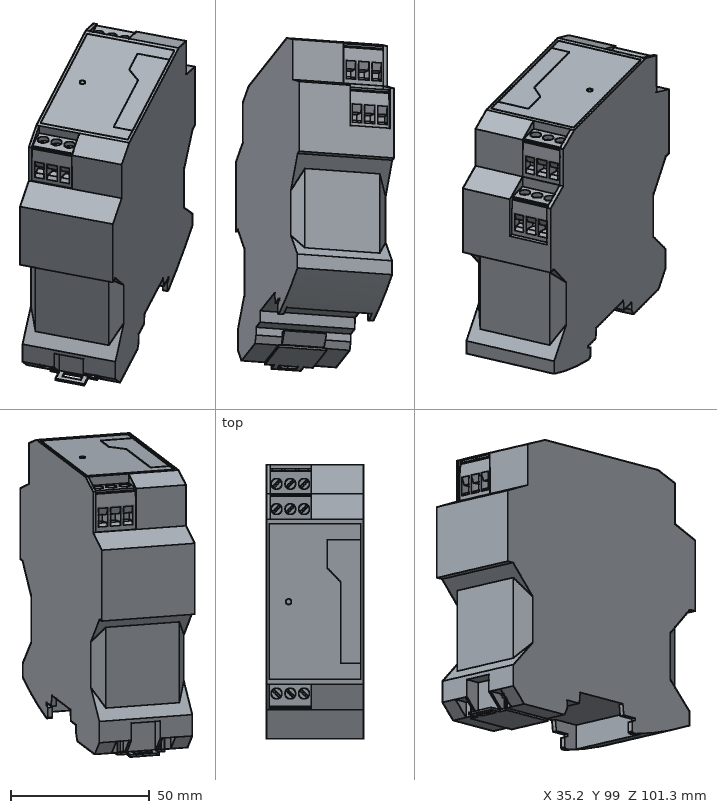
import cadquery as cq


width = 35.2
depth = 99.0
height = 101.3
half_width = width / 2
half_depth = depth / 2

top_half_depth = 29.8
upper_half_depth = 38.9
upper_edge_z = 98.0
shelf_inner_z = 82.8
shelf_outer_z = 78.7
overhang_z = 52.4
overhang_half_depth = 46.7
waist_half_depth = 36.3
waist_top_z = 41.6
waist_bottom_z = 24.5
foot_half_depth = 46.5
foot_top_z = 14.4
foot_bottom_z = 0.8
rail_seat_z = 6.5

rail_gap_z = 10.6
rail_gap_half_depth = 11.2
rail_seat_half_depth = 11.8
hook_foot_edge_z = 9.1
hook_foot_mid = (33.4, 4.6)
hook_foot_toe_y = 18.1
hook_foot_face_y = 16.1
hook_foot_toe_chamfer = 0.5
hook_lip_z = 5.0
hook_groove_y = 17.8
hook_groove_z = 5.7
hook_foot_notch_y = 22.3
hook_foot_notch_half_width = 15.8
latch_foot_face_y = -18.0
latch_foot_bend_z = 3.5
latch_foot_bottom_y = -19.6
latch_foot_chamfer = rail_seat_z - foot_bottom_z

block_half_depth = 42.6
block_half_width = 13.9

terminal_right = -1.3
front_terminal_left = -16.5
back_terminal_left = -16.1
front_terminal_y = 38.5
back_terminal_y = 38.8
lower_terminal_shift = 9.1
terminal_slope_run = 0.7
terminal_slope_height = 5.8
terminal_height = upper_edge_z - shelf_inner_z
groove_drop = 0.8
groove_height = 0.4
groove_depth = 0.2

screw_pitch = 5.0
middle_screw_x = -8.9
screw_radius = 1.9
screw_inset = 5.4
screw_recess = 1.8
screw_slot_width = 0.7
screw_slot_depth = 0.5
screw_slot_angle = 45

funnel_ranges = [
    ((-15.4, -12.0), (-15.4, -12.8)),
    ((-10.8, -7.0), (-10.0, -7.8)),
    ((-5.9, -2.4), (-5.1, -2.4)),
]
funnel_mouth = (6.5, 13.4)
funnel_back = (9.2, 12.3)
funnel_throat_depth = 1.2
funnel_depth = 4.1

label_half_width = 16.5
label_half_depth = 28.1
label_recess = 0.1
window_recess = 0.1
window_left = 4.4
window_neck = 9.3
window_half_depth = 22.3
window_bend_y = 12.3
window_neck_y = 7.1
led_x = -9.5
led_radius = 1.0
led_recess = 0.2

latch_pocket_half_width = 11.1
latch_half_width = 8.9
latch_wall = 1.1
latch_top_z = 6.1
latch_inner_z = 5.3
latch_frame_recess = 0.4
latch_inner_recess = 1.4
latch_inner_half_width = latch_half_width - latch_wall
latch_front_y = -(foot_half_depth - latch_foot_chamfer)
latch_rib_half_width = 6.3
latch_plate_back_y = -19.1
latch_tab_front_y = -45.4
latch_tab_half_width = 5.5
latch_tab_margin = 2.0
tool_recess_depth = 6.1
tool_recess_top_z = 12.9
latch_hook_tip = (-14.9, 5.0)
latch_hook_top = (-15.6, latch_inner_z)
latch_hook_bottom_y = -18.4
latch_hook_root_y = -20.3


def box(x_range, y_range, z_range):
    """Box spanning the given ranges."""
    size = [high - low for low, high in (x_range, y_range, z_range)]
    low_corner = (x_range[0], y_range[0], z_range[0])
    return cq.Workplane("XY").box(*size, centered=False).translate(low_corner)


def centred_range(half_size):
    return (-half_size, half_size)


def side_prism(points, x_range):
    """Closed (y, z) polygon extruded across an X range."""
    start, end = x_range
    return cq.Workplane("YZ", origin=(start, 0, 0)).polyline(points).close().extrude(end - start)


def housing():
    upper_side = [
        (top_half_depth, height),
        (upper_half_depth, upper_edge_z),
        (upper_half_depth, shelf_inner_z),
        (half_depth, shelf_outer_z),
        (half_depth, overhang_z),
        (overhang_half_depth, overhang_z),
        (waist_half_depth, waist_top_z),
        (waist_half_depth, waist_bottom_z),
        (foot_half_depth, foot_top_z),
    ]
    rail_side = [
        (hook_foot_face_y, hook_lip_z),
        (hook_groove_y, hook_groove_z),
        (hook_groove_y, rail_seat_z),
        (rail_seat_half_depth, rail_seat_z),
        (rail_gap_half_depth, rail_gap_z),
        (-rail_gap_half_depth, rail_gap_z),
        (-rail_seat_half_depth, rail_seat_z),
        (latch_foot_face_y, rail_seat_z),
        (latch_foot_face_y, latch_foot_bend_z),
        (latch_foot_bottom_y, foot_bottom_z),
        (latch_front_y, foot_bottom_z),
        (-foot_half_depth, rail_seat_z),
    ]
    mirrored_side = [(-y, z) for y, z in reversed(upper_side)]
    outline = cq.Workplane("YZ", origin=(-half_width, 0, 0)).polyline(upper_side)
    outline = outline.lineTo(foot_half_depth, hook_foot_edge_z)
    outline = outline.threePointArc(hook_foot_mid, (hook_foot_toe_y, foot_bottom_z))
    outline = outline.lineTo(hook_foot_face_y + hook_foot_toe_chamfer, foot_bottom_z)
    outline = outline.lineTo(hook_foot_face_y, foot_bottom_z + hook_foot_toe_chamfer)
    for point in rail_side + mirrored_side:
        outline = outline.lineTo(*point)
    return outline.close().extrude(width)


def waist_blocks():
    """Block standing out of the waist on both faces, tapering in width outwards."""
    plan = [
        (-half_width, -waist_half_depth),
        (-block_half_width, -block_half_depth),
        (block_half_width, -block_half_depth),
        (half_width, -waist_half_depth),
        (half_width, waist_half_depth),
        (block_half_width, block_half_depth),
        (-block_half_width, block_half_depth),
        (-half_width, waist_half_depth),
    ]
    blocks = cq.Workplane("XY", origin=(0, 0, foot_top_z)).polyline(plan).close()
    return blocks.extrude(overhang_z - foot_top_z)


def terminal_pocket(left, face_y, inner_y, top_z):
    """Space in front of and above a terminal, on the +Y side."""
    bottom_z = top_z - terminal_height
    points = [
        (inner_y, height),
        (inner_y, top_z),
        (face_y - terminal_slope_run, top_z),
        (face_y, top_z - terminal_slope_height),
        (face_y, bottom_z),
        (half_depth, bottom_z),
        (half_depth, height),
    ]
    pocket = side_prism(points, (left, terminal_right))
    groove_top_z = top_z - groove_drop
    groove = box(
        (left, terminal_right),
        (face_y - terminal_slope_run - groove_depth, face_y),
        (groove_top_z - groove_height, groove_top_z),
    )
    return pocket.union(groove)


def screw_recesses(face_y, top_z):
    """Round screw wells with a diagonal driver slot in each head."""
    head_z = top_z - screw_recess
    slot_length = 2 * screw_radius + screw_slot_width
    centres = [(middle_screw_x + i * screw_pitch, face_y - screw_inset) for i in (-1, 0, 1)]
    heads = cq.Workplane("XY", origin=(0, 0, head_z)).pushPoints(centres)
    wells = heads.circle(screw_radius).extrude(screw_recess)
    slots = heads.slot2D(slot_length, screw_slot_width, screw_slot_angle).extrude(-screw_slot_depth)
    head_area = heads.circle(screw_radius).extrude(-screw_slot_depth)
    return wells.union(slots.intersect(head_area))


def tapered_hole(y_range, x_ranges, z_ranges):
    """Hole running from the first Y to the second between two rectangles, one at each end."""
    rectangle_corners = ((0, 0), (1, 0), (1, 1), (0, 1))
    sections = []
    for y, x_range, z_range in zip(y_range, x_ranges, z_ranges):
        points = [cq.Vector(x_range[i], y, z_range[j]) for i, j in rectangle_corners]
        sections.append(cq.Wire.makePolygon(points, close=True))
    return cq.Workplane(cq.Solid.makeLoft(sections, True))


def wire_funnels(face_y, top_z):
    """Wire openings that narrow towards their backs, on the +Y side."""
    mouth_z = [top_z - drop for drop in funnel_mouth]
    back_z = [top_z - drop for drop in funnel_back]
    throat_y = face_y - funnel_throat_depth
    back_y = face_y - funnel_depth
    funnels = cq.Workplane("XY")
    for mouth_x, back_x in funnel_ranges:
        throat = tapered_hole((face_y, throat_y), (mouth_x, mouth_x), (mouth_z, back_z))
        tunnel = tapered_hole((throat_y, back_y), (mouth_x, back_x), (back_z, back_z))
        funnels = funnels.union(throat).union(tunnel)
    return funnels


def terminal_cut(left, face_y, inner_y, top_z):
    """Everything removed from the housing to form one terminal on the +Y side."""
    pocket = terminal_pocket(left, face_y, inner_y, top_z)
    return pocket.union(screw_recesses(face_y, top_z)).union(wire_funnels(face_y, top_z))


def label_cut():
    """Shallow label recess in the roof with a stepped window and an indicator dimple."""
    label_z = height - label_recess
    label = box(centred_range(label_half_width), centred_range(label_half_depth), (label_z, height))
    window = [
        (label_half_width, window_half_depth),
        (window_left, window_half_depth),
        (window_left, window_bend_y),
        (window_neck, window_neck_y),
        (window_neck, -window_half_depth),
        (label_half_width, -window_half_depth),
    ]
    window_cut = cq.Workplane("XY", origin=(0, 0, label_z)).polyline(window).close().extrude(-window_recess)
    led = cq.Workplane("XY", origin=(led_x, 0, label_z)).circle(led_radius).extrude(-led_recess)
    return label.union(window_cut).union(led)


def latch_cut():
    """Stepped pocket in the foot chamfer around the latch, leaving a rib in the middle."""
    steps = [
        (latch_pocket_half_width, rail_seat_z, 0),
        (latch_half_width, latch_top_z, latch_frame_recess),
        (latch_inner_half_width, latch_inner_z, latch_inner_recess),
    ]
    pocket = cq.Workplane("XY")
    for half_size, top_z, recess in steps:
        y_range = (-foot_half_depth, latch_front_y + recess)
        pocket = pocket.union(box(centred_range(half_size), y_range, (foot_bottom_z, top_z)))
    rib_y = (-foot_half_depth, latch_front_y + latch_inner_recess)
    rib = box(centred_range(latch_rib_half_width), rib_y, (foot_bottom_z, rail_seat_z))
    tool_y = (-foot_half_depth, tool_recess_depth - foot_half_depth)
    tool_recess = box(centred_range(latch_tab_half_width), tool_y, (foot_bottom_z, tool_recess_top_z))
    return pocket.cut(rib).union(tool_recess)


def latch():
    """Flat latch plate with an open pull tab, and its hook at the rail end."""
    plate_z = (0, foot_bottom_z)
    plate = box(centred_range(latch_half_width), (latch_front_y, latch_plate_back_y), plate_z)
    tab = box(centred_range(latch_tab_half_width), (latch_tab_front_y, latch_front_y), plate_z)
    opening_x = centred_range(latch_tab_half_width - latch_tab_margin)
    opening = box(opening_x, (latch_tab_front_y + latch_tab_margin, latch_front_y), plate_z)
    hook_points = [
        latch_hook_tip,
        latch_hook_top,
        (latch_hook_root_y, latch_inner_z),
        (latch_hook_root_y, foot_bottom_z),
        (latch_hook_bottom_y, foot_bottom_z),
    ]
    hook = side_prism(hook_points, centred_range(latch_inner_half_width))
    return plate.union(tab.cut(opening)).union(hook)


def hook_foot_notch():
    """Opening between the two side walls of the fixed foot, behind the rail."""
    y_range = (rail_gap_half_depth, hook_foot_notch_y)
    return box(centred_range(hook_foot_notch_half_width), y_range, (0, rail_gap_z))


front_terminal = terminal_cut(front_terminal_left, front_terminal_y, top_half_depth, upper_edge_z)
back_upper = terminal_cut(back_terminal_left, back_terminal_y, top_half_depth, upper_edge_z)
back_lower_y = back_terminal_y + lower_terminal_shift
back_lower = terminal_cut(back_terminal_left, back_lower_y, upper_half_depth, shelf_outer_z)

result = housing().union(waist_blocks()).cut(hook_foot_notch())
result = result.cut(front_terminal.mirror("XZ")).cut(back_upper).cut(back_lower)
result = result.cut(label_cut()).cut(latch_cut()).union(latch())